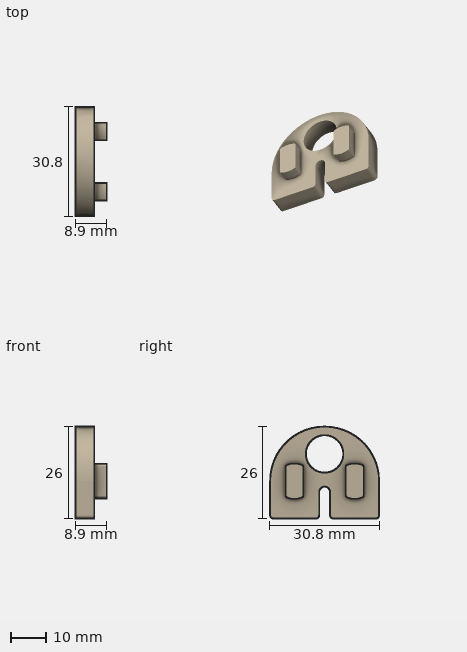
import cadquery as cq
import math

plate_width = 30.8
plate_height = 26.0
plate_thickness = 5.4
arch_radius = plate_width / 2
arch_center_z = plate_height - arch_radius
foot_radius = 1.0

window_diameter = 10.5
window_rim = 2.5
window_center_z = plate_height - window_rim - window_diameter / 2

slot_width = 3.0
slot_height = 9.0

peg_length = 3.5
peg_width = 5.0
peg_height = 10.0
peg_spacing = 17.0
peg_center_z = 10.55
peg_end_radius = 5.5
peg_corner_radius = 0.5


def make_plate():
    half_width = plate_width / 2
    return (
        cq.Workplane("YZ")
        .moveTo(-half_width, 0)
        .lineTo(half_width, 0)
        .lineTo(half_width, arch_center_z)
        .threePointArc((0, plate_height), (-half_width, arch_center_z))
        .close()
        .extrude(plate_thickness)
    )


def make_window():
    return (
        cq.Workplane("YZ")
        .center(0, window_center_z)
        .circle(window_diameter / 2)
        .extrude(plate_thickness)
    )


def make_slot():
    half_width = slot_width / 2
    round_start_z = slot_height - half_width
    return (
        cq.Workplane("YZ")
        .moveTo(-half_width, 0)
        .lineTo(half_width, 0)
        .lineTo(half_width, round_start_z)
        .threePointArc((0, slot_height), (-half_width, round_start_z))
        .close()
        .extrude(plate_thickness)
    )


def make_peg(center_y):
    half_width = peg_width / 2
    half_height = peg_height / 2
    end_rise = peg_end_radius - math.sqrt(peg_end_radius**2 - half_width**2)
    corner_z = half_height - end_rise
    return (
        cq.Workplane("YZ", origin=(plate_thickness, center_y, peg_center_z))
        .moveTo(-half_width, -corner_z)
        .threePointArc((0, -half_height), (half_width, -corner_z))
        .lineTo(half_width, corner_z)
        .threePointArc((0, half_height), (-half_width, corner_z))
        .close()
        .extrude(peg_length)
        .edges("|X")
        .fillet(peg_corner_radius)
    )


result = make_plate().cut(make_slot()).edges("|X and <Z").fillet(foot_radius)
result = result.cut(make_window())
for side in (-1, 1):
    result = result.union(make_peg(side * peg_spacing / 2))